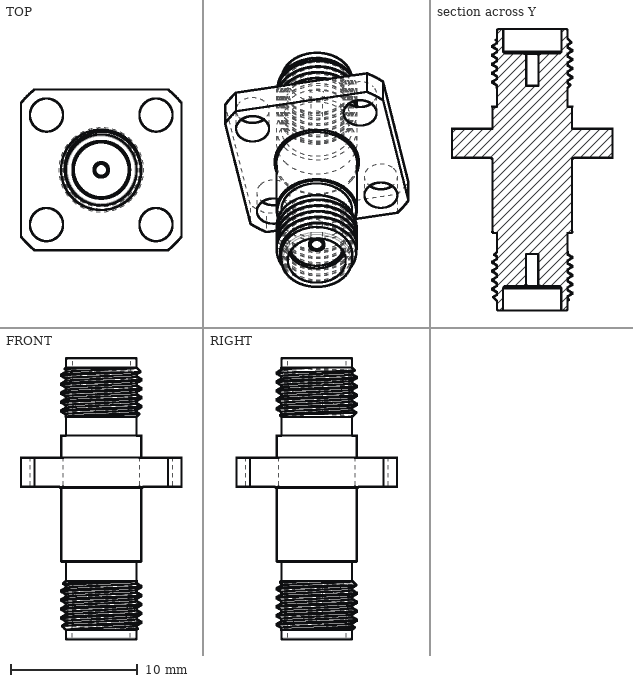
import cadquery as cq
import math

flange_side = 12.7
flange_thickness = 2.29
flange_corner_radius = 8.25
mounting_hole_diameter = 2.6
mounting_hole_spacing = 8.64

overall_length = 22.225
top_end_z = 10.16
bottom_end_z = top_end_z - overall_length
collar_height = 1.75
collar_top_z = flange_thickness + collar_height
body_length = 5.94

body_radius = 3.175
barrel_radius = 2.8
body_end_chamfer = 0.08
body_root_flare_width = 0.16
body_root_flare_height = 0.1
rim_fillet = 0.12

thread_radius = body_radius
thread_pitch = 25.4 / 36
thread_length = 3.87
thread_end_gap = 0.77
crest_width = 0.08
flank_angle = 30.0
thread_crest_z = top_end_z - 2.07
groove_root_clearance = 0.01
groove_margin = 0.02
groove_extra_turns = 1
sleeve_overlap = 0.2

bore_radius = 2.29
bore_depth = 1.76
bore_taper_depth = 0.15
socket_floor_radius = 2.16
contact_radius = 0.61
contact_recess = 0.05
contact_hole_radius = 0.47
contact_hole_depth = 2.5


def make_flange():
    plate = cq.Workplane("XY").rect(flange_side, flange_side).extrude(flange_thickness)
    plate = plate.intersect(cq.Workplane("XY").circle(flange_corner_radius).extrude(flange_thickness))
    return (
        plate.faces(">Z").workplane()
        .rect(mounting_hole_spacing, mounting_hole_spacing, forConstruction=True)
        .vertices().hole(mounting_hole_diameter)
    )


def make_body():
    """Barrel, collar above the flange and long body below it, turned in one piece."""
    barrel = cq.Workplane("XY", origin=(0, 0, bottom_end_z)).circle(barrel_radius).extrude(overall_length)
    barrel = barrel.faces("<Z or >Z").edges().fillet(rim_fillet)
    body = cq.Workplane("XY", origin=(0, 0, -body_length)).circle(body_radius)
    body = body.extrude(body_length + collar_top_z)
    body = body.faces("<Z").chamfer(body_end_chamfer)
    return barrel.union(body)


def make_upper_thread():
    """Chamfered sleeve with a right-hand V groove leaving a narrow crest."""
    start_z = top_end_z - thread_end_gap - thread_length
    groove_root_radius = barrel_radius + groove_root_clearance
    groove_outer_radius = thread_radius + groove_margin
    flank_slope = math.tan(math.radians(flank_angle))
    outer_half_width = (thread_pitch - crest_width) / 2 + groove_margin * flank_slope
    root_half_width = outer_half_width - (groove_outer_radius - groove_root_radius) * flank_slope

    sleeve_inner_radius = barrel_radius - sleeve_overlap
    sleeve = cq.Workplane("XY", origin=(0, 0, start_z)).circle(thread_radius).extrude(thread_length)
    sleeve = sleeve.faces("<Z or >Z").edges().chamfer(thread_radius - barrel_radius)
    sleeve = sleeve.cut(
        cq.Workplane("XY", origin=(0, 0, start_z)).circle(sleeve_inner_radius).extrude(thread_length)
    )

    turns_below = math.ceil((thread_crest_z - start_z) / thread_pitch) + groove_extra_turns
    groove_start_z = thread_crest_z - turns_below * thread_pitch
    groove_turns = math.ceil(thread_length / thread_pitch) + 2 * groove_extra_turns + 1
    groove_height = groove_turns * thread_pitch
    helix = cq.Wire.makeHelix(thread_pitch, groove_height, barrel_radius, cq.Vector(0, 0, groove_start_z))
    groove = (
        cq.Workplane("XZ", origin=(0, 0, groove_start_z))
        .polyline([
            (groove_root_radius, -root_half_width),
            (groove_outer_radius, -outer_half_width),
            (groove_outer_radius, outer_half_width),
            (groove_root_radius, root_half_width),
        ])
        .close()
        .sweep(cq.Workplane(helix), isFrenet=True)
    )
    return sleeve.cut(groove)


def make_root_flare():
    """Conical ring where the lower body meets the underside of the flange."""
    outer_radius = body_radius + body_root_flare_width
    return (
        cq.Workplane("XZ")
        .moveTo(barrel_radius, 0)
        .lineTo(outer_radius, 0)
        .lineTo(body_radius, -body_root_flare_height)
        .lineTo(barrel_radius, -body_root_flare_height)
        .close()
        .revolve(360, (0, 0, 0), (0, 1, 0))
    )


def make_socket():
    """Empty space of the upper socket: bore, tapered floor edge and contact hole."""
    taper_z = top_end_z - bore_depth
    floor_z = taper_z - bore_taper_depth
    contact_z = floor_z - contact_recess
    return (
        cq.Workplane("XZ")
        .polyline([
            (0, top_end_z),
            (bore_radius, top_end_z),
            (bore_radius, taper_z),
            (socket_floor_radius, floor_z),
            (contact_radius, floor_z),
            (contact_radius, contact_z),
            (contact_hole_radius, contact_z),
            (contact_hole_radius, contact_z - contact_hole_depth),
            (0, contact_z - contact_hole_depth),
        ])
        .close()
        .revolve(360, (0, 0, 0), (0, 1, 0))
    )


def turn_end_for_end(shape):
    """Half turn about a Y line through mid-length; keeps the hand of the thread."""
    middle_z = (top_end_z + bottom_end_z) / 2
    return shape.rotate((0, 0, middle_z), (0, 1, middle_z), 180)


upper_thread = make_upper_thread()
upper_socket = make_socket()

result = (
    make_body()
    .union(make_flange())
    .union(make_root_flare())
    .union(upper_thread)
    .union(turn_end_for_end(upper_thread))
    .cut(upper_socket)
    .cut(turn_end_for_end(upper_socket))
)